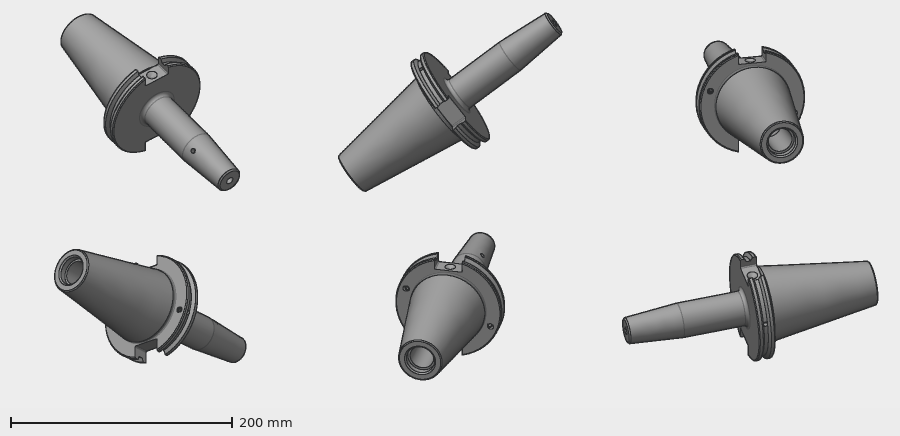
import cadquery as cq
import math

TOTAL_LENGTH = 231.5

GAUGE_DIAMETER = 70.0
GAUGE_X = 101.5
TAPER_RATE = 7 / 24
TAPER_CHAMFER = 1.0
NECK_DIAMETER = 69.2
NECK_BEVEL = 1.5
NECK_FILLET = 0.7

FLANGE_DIAMETER = 98.2
FLANGE_BACK_X = 105.0
FLANGE_WIDTH = 15.3
FLANGE_CHAMFER = 1.0
GROOVE_FLOOR_DIAMETER = 91.3
GROOVE_FLOOR_WIDTH = 3.7
GROOVE_HALF_ANGLE = 30.0

NOTCH_WIDTH = 25.7
UPPER_NOTCH_HEIGHT = 37.8
LOWER_NOTCH_HEIGHT = 35.5
NOTCH_CORNER_RADIUS = 1.0
NOTCH_DIMPLE_DIAMETER = 9.5

SHANK_DIAMETER = 32.0
SHANK_FILLET = 3.5
NOSE_X = 181.0
NOSE_DIAMETER = 24.3
NOSE_CHAMFER = 1.5

MOUTH_DIAMETER = 29.0
PILOT_DIAMETER = 26.2
PILOT_DEPTH = 7.0
THREAD_DIAMETER = 22.0
THREAD_DEPTH = 45.2
MIDDLE_DIAMETER = 13.5
MIDDLE_DEPTH = 92.6
THROUGH_DIAMETER = 7.0
DRILL_HALF_ANGLE = 59.0

COOLANT_ANGLE = 20.0
COOLANT_MOUTH_RADIUS = 42.0
COOLANT_SLOPE = 25.0
FACE_SCREW_DIAMETER = 5.0
FACE_SCREW_DEPTH = 2.3
GROOVE_HOLE_DIAMETER = 4.0
CHANNEL_DIAMETER = 3.0

NOSE_HOLE_X = 190.1
NOSE_HOLE_ANGLE = 135.0
NOSE_HOLE_DIAMETER = 4.2
NOSE_HOLE_SCREW_DEPTH = 5.0

OVERSHOOT = 2.3

FLANGE_FRONT_X = FLANGE_BACK_X + FLANGE_WIDTH
GROOVE_X = FLANGE_BACK_X + FLANGE_WIDTH / 2
FLANGE_RADIUS = FLANGE_DIAMETER / 2
GROOVE_FLOOR_RADIUS = GROOVE_FLOOR_DIAMETER / 2
SHANK_RADIUS = SHANK_DIAMETER / 2


def revolve_about_x(profile):
    return profile.close().revolve(360, (0, 0, 0), (1, 0, 0))


def outer_body():
    gauge_radius = GAUGE_DIAMETER / 2
    neck_radius = NECK_DIAMETER / 2
    tail_radius = gauge_radius - GAUGE_X * TAPER_RATE / 2
    chamfer_end_radius = tail_radius + TAPER_CHAMFER * TAPER_RATE / 2

    floor_half = GROOVE_FLOOR_WIDTH / 2
    groove_depth = FLANGE_RADIUS - GROOVE_FLOOR_RADIUS
    mouth_half = floor_half + groove_depth * math.tan(math.radians(GROOVE_HALF_ANGLE))

    fillet_end_x = FLANGE_FRONT_X + SHANK_FILLET
    fillet_mid_offset = SHANK_FILLET * (1 - math.sqrt(0.5))
    nose_radius = NOSE_DIAMETER / 2

    profile = (
        cq.Workplane("XY")
        .moveTo(0, 0)
        .lineTo(0, tail_radius - TAPER_CHAMFER)
        .lineTo(TAPER_CHAMFER, chamfer_end_radius)
        .lineTo(GAUGE_X, gauge_radius)
        .lineTo(GAUGE_X + NECK_BEVEL, neck_radius)
        .lineTo(FLANGE_BACK_X - NECK_FILLET, neck_radius)
        .radiusArc((FLANGE_BACK_X, neck_radius + NECK_FILLET), -NECK_FILLET)
        .lineTo(FLANGE_BACK_X, FLANGE_RADIUS - FLANGE_CHAMFER)
        .lineTo(FLANGE_BACK_X + FLANGE_CHAMFER, FLANGE_RADIUS)
        .lineTo(GROOVE_X - mouth_half, FLANGE_RADIUS)
        .lineTo(GROOVE_X - floor_half, GROOVE_FLOOR_RADIUS)
        .lineTo(GROOVE_X + floor_half, GROOVE_FLOOR_RADIUS)
        .lineTo(GROOVE_X + mouth_half, FLANGE_RADIUS)
        .lineTo(FLANGE_FRONT_X - FLANGE_CHAMFER, FLANGE_RADIUS)
        .lineTo(FLANGE_FRONT_X, FLANGE_RADIUS - FLANGE_CHAMFER)
        .lineTo(FLANGE_FRONT_X, SHANK_RADIUS + SHANK_FILLET)
        .threePointArc(
            (FLANGE_FRONT_X + fillet_mid_offset, SHANK_RADIUS + fillet_mid_offset),
            (fillet_end_x, SHANK_RADIUS),
        )
        .lineTo(NOSE_X, SHANK_RADIUS)
        .lineTo(TOTAL_LENGTH - NOSE_CHAMFER, nose_radius)
        .lineTo(TOTAL_LENGTH, nose_radius - NOSE_CHAMFER)
        .lineTo(TOTAL_LENGTH, 0)
    )
    return revolve_about_x(profile)


def drill_tip_length(large_diameter, small_diameter=0.0):
    return (large_diameter - small_diameter) / 2 / math.tan(math.radians(DRILL_HALF_ANGLE))


def central_bore():
    mouth_bevel = (MOUTH_DIAMETER - PILOT_DIAMETER) / 2
    thread_cone = drill_tip_length(THREAD_DIAMETER, MIDDLE_DIAMETER)
    middle_cone = drill_tip_length(MIDDLE_DIAMETER, THROUGH_DIAMETER)
    profile = (
        cq.Workplane("XY")
        .moveTo(0, 0)
        .lineTo(0, MOUTH_DIAMETER / 2)
        .lineTo(mouth_bevel, PILOT_DIAMETER / 2)
        .lineTo(PILOT_DEPTH, PILOT_DIAMETER / 2)
        .lineTo(PILOT_DEPTH, THREAD_DIAMETER / 2)
        .lineTo(THREAD_DEPTH, THREAD_DIAMETER / 2)
        .lineTo(THREAD_DEPTH + thread_cone, MIDDLE_DIAMETER / 2)
        .lineTo(MIDDLE_DEPTH, MIDDLE_DIAMETER / 2)
        .lineTo(MIDDLE_DEPTH + middle_cone, THROUGH_DIAMETER / 2)
        .lineTo(TOTAL_LENGTH, THROUGH_DIAMETER / 2)
        .lineTo(TOTAL_LENGTH, 0)
    )
    return revolve_about_x(profile)


def drive_notch(floor_height, side):
    """Slot across the flange; side is +1 above the axis and -1 below it."""
    height = FLANGE_RADIUS - floor_height + OVERSHOOT
    center_z = side * (floor_height + height / 2)
    return (
        cq.Workplane("XY")
        .box(FLANGE_WIDTH, NOTCH_WIDTH, height)
        .faces("<Z" if side > 0 else ">Z")
        .edges("|X")
        .fillet(NOTCH_CORNER_RADIUS)
        .translate((GROOVE_X, 0, center_z))
    )


def notch_dimple():
    """Drill-point dimple in the floor of the upper notch."""
    tip_z = UPPER_NOTCH_HEIGHT - drill_tip_length(NOTCH_DIMPLE_DIAMETER)
    return (
        cq.Workplane("XZ")
        .moveTo(0, tip_z)
        .lineTo(NOTCH_DIMPLE_DIAMETER / 2, UPPER_NOTCH_HEIGHT)
        .lineTo(0, UPPER_NOTCH_HEIGHT)
        .close()
        .revolve(360, (0, 0, 0), (0, 1, 0))
        .translate((GROOVE_X, 0, 0))
    )


def straight_hole(mouth, direction, diameter, depth):
    """Drill body that also clears the curved or sloping surface around its mouth point."""
    start = mouth - direction * OVERSHOOT
    return cq.Workplane(cq.Solid.makeCylinder(diameter / 2, depth + OVERSHOOT, start, direction))


def stepped_hole(mouth, direction, screw_diameter, screw_depth, channel_length):
    """Screw hole that narrows to a channel; both lengths start at the mouth point."""
    screw = straight_hole(mouth, direction, screw_diameter, screw_depth)
    channel = straight_hole(mouth, direction, CHANNEL_DIAMETER, channel_length)
    return screw.union(channel)


def coolant_holes():
    """Radial hole from the groove to the bore, met by a sloping hole from the flange's back face."""
    slope = math.radians(COOLANT_SLOPE)
    inward = cq.Vector(0, -1, 0)

    groove_mouth = cq.Vector(GROOVE_X, GROOVE_FLOOR_RADIUS, 0)
    radial = straight_hole(groove_mouth, inward, GROOVE_HOLE_DIAMETER, GROOVE_FLOOR_RADIUS)

    face_mouth = cq.Vector(FLANGE_BACK_X, COOLANT_MOUTH_RADIUS, 0)
    sloping_direction = cq.Vector(math.cos(slope), -math.sin(slope), 0)
    sloping_length = (GROOVE_X - FLANGE_BACK_X) / math.cos(slope)
    sloping = stepped_hole(
        face_mouth, sloping_direction, FACE_SCREW_DIAMETER, FACE_SCREW_DEPTH, sloping_length
    )
    return radial.union(sloping).rotate((0, 0, 0), (1, 0, 0), COOLANT_ANGLE)


def nose_hole():
    nose_length = TOTAL_LENGTH - NOSE_CHAMFER - NOSE_X
    nose_drop = (SHANK_DIAMETER - NOSE_DIAMETER) / 2
    surface_radius = SHANK_RADIUS - nose_drop * (NOSE_HOLE_X - NOSE_X) / nose_length
    mouth = cq.Vector(NOSE_HOLE_X, surface_radius, 0)
    inward = cq.Vector(0, -1, 0)
    hole = stepped_hole(mouth, inward, NOSE_HOLE_DIAMETER, NOSE_HOLE_SCREW_DEPTH, surface_radius)
    return hole.rotate((0, 0, 0), (1, 0, 0), NOSE_HOLE_ANGLE)


result = outer_body().cut(central_bore())
result = result.cut(drive_notch(UPPER_NOTCH_HEIGHT, 1))
result = result.cut(drive_notch(LOWER_NOTCH_HEIGHT, -1))
result = result.cut(notch_dimple())
for half_turn in (0, 180):
    result = result.cut(coolant_holes().rotate((0, 0, 0), (1, 0, 0), half_turn))
result = result.cut(nose_hole())